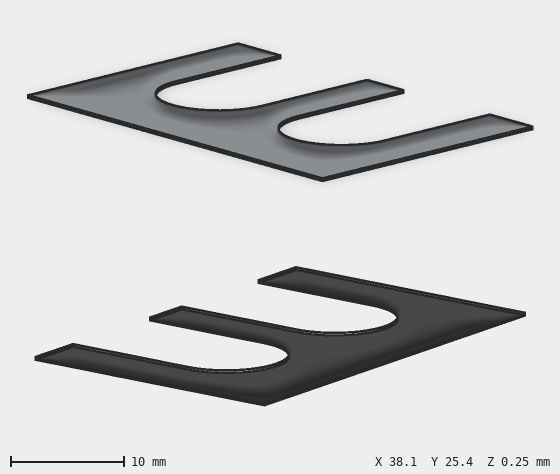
import cadquery as cq

length = 38.1
depth = 25.4
thickness = 0.25

slot_width = 11.2
slot_spacing = 15.9
slot_radius = slot_width / 2
back_edge = depth / 2


def open_slot(center_x):
    """Cutter with its round end centered at mid-depth, running out through the +Y edge."""
    return (
        cq.Workplane("XY")
        .moveTo(center_x - slot_radius, back_edge)
        .lineTo(center_x - slot_radius, 0)
        .threePointArc((center_x, -slot_radius), (center_x + slot_radius, 0))
        .lineTo(center_x + slot_radius, back_edge)
        .close()
        .extrude(thickness)
    )


result = cq.Workplane("XY").box(length, depth, thickness, centered=(True, True, False))
for side in (-1, 1):
    result = result.cut(open_slot(side * slot_spacing / 2))